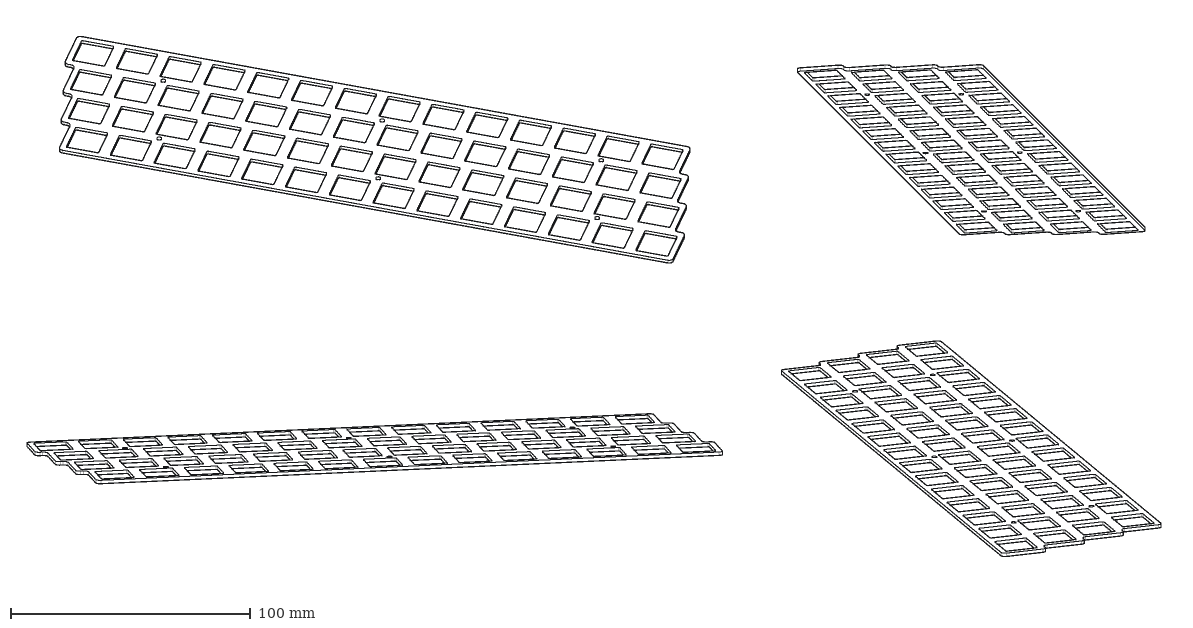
import cadquery as cq

key_pitch = 19.05
keys_per_row = 14
row_count = 4
row_stagger = key_pitch / 4

plate_thickness = 1.5
edge_border = 0.1
step_offset = 0.6
corner_radius = 1.78

cutout_size = 14.0
cutout_corner_radius = 0.5

hole_diameter = 2.0
hole_rows = (1, 3)
holes_per_line = 3
keys_before_first_hole = 2
keys_between_holes = 5

row_length = keys_per_row * key_pitch
grid_width = row_length + (row_count - 1) * row_stagger
grid_depth = row_count * key_pitch


def row_left(row):
    """X where the first key space of a row begins."""
    return -grid_width / 2 + row * row_stagger


def row_back(row):
    """Y of the line along the back of a row's key spaces."""
    return grid_depth / 2 - row * key_pitch


def make_plate():
    """Rounded plate whose left and right ends step sideways from row to row."""
    plate_back = grid_depth / 2 + edge_border
    left_ends = [row_left(row) - edge_border for row in range(row_count)]
    right_ends = [row_left(row) + row_length + edge_border for row in range(row_count)]

    left_side = [(left_ends[0], plate_back)]
    right_side = [(right_ends[0], plate_back)]
    for row in range(1, row_count):
        left_step = row_back(row) - step_offset
        right_step = row_back(row) + step_offset
        left_side += [(left_ends[row - 1], left_step), (left_ends[row], left_step)]
        right_side += [(right_ends[row - 1], right_step), (right_ends[row], right_step)]
    left_side.append((left_ends[-1], -plate_back))
    right_side.append((right_ends[-1], -plate_back))

    outline = left_side + right_side[::-1]
    plate = cq.Workplane("XY").polyline(outline).close().extrude(plate_thickness)
    return plate.edges("|Z").fillet(corner_radius)


def make_switch_cutters():
    """One rounded square through the plate for every key."""
    centers = [
        (row_left(row) + (column + 0.5) * key_pitch, row_back(row) - key_pitch / 2)
        for row in range(row_count)
        for column in range(keys_per_row)
    ]
    blocks = cq.Workplane("XY").pushPoints(centers).rect(cutout_size, cutout_size).extrude(plate_thickness)
    return blocks.edges("|Z").fillet(cutout_corner_radius)


def make_hole_cutters():
    """Pins for the mounting holes, evenly spaced along each line of holes."""
    centers = [
        (row_left(row) + (keys_before_first_hole + index * keys_between_holes) * key_pitch, row_back(row))
        for row in hole_rows
        for index in range(holes_per_line)
    ]
    return cq.Workplane("XY").pushPoints(centers).circle(hole_diameter / 2).extrude(plate_thickness)


result = make_plate().cut(make_switch_cutters()).cut(make_hole_cutters())